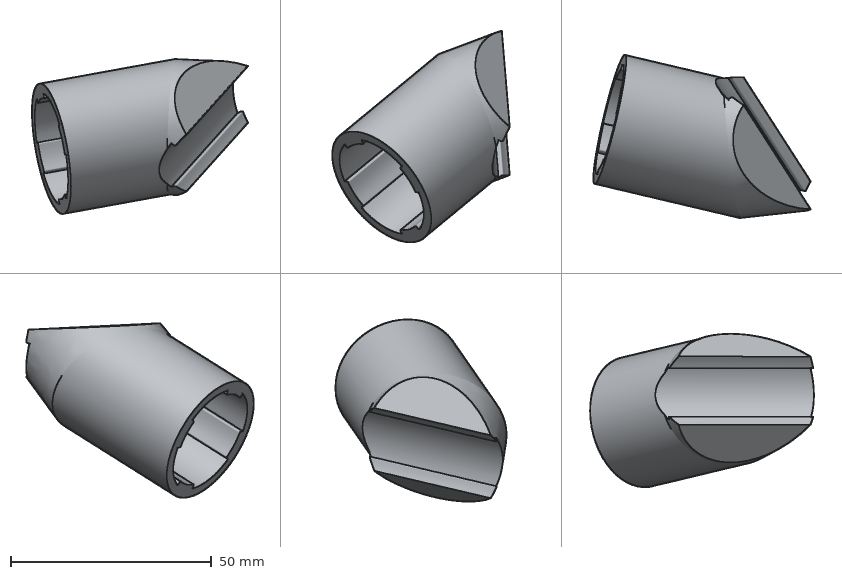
import cadquery as cq
import math

outer_radius = 16.5
bore_radius = 12.8
keyway_radius = 14.05
keyway_half_angle = 28.5
keyway_count = 4
keyway_lip_round = 0.4
bore_depth = 21.45

joint_angle = 21.2
joint_left_height = 37.8
joint_center_height = joint_left_height - outer_radius * math.tan(math.radians(joint_angle))

neck_length = 32.15

saddle_axis_height = 59.35
miter_offset = 0.65
cut_length = 160.8


def axis_distance(plane, edge):
    """Distance of an edge's middle from the normal through the plane's origin."""
    center = plane.toLocalCoords(edge.Center())
    return math.hypot(center.x, center.y)


def keyway_point(angle):
    """Point on the keyway floor at an angle in degrees."""
    turn = math.radians(angle)
    return keyway_radius * math.cos(turn), keyway_radius * math.sin(turn)


def keyed_profile(plane, length):
    """Solid with the cross-section of a round bore with evenly spaced keyways."""
    solid = cq.Workplane(plane).circle(bore_radius).extrude(length)
    for index in range(keyway_count):
        middle = index * 360 / keyway_count
        start = keyway_point(middle - keyway_half_angle)
        mid = keyway_point(middle)
        end = keyway_point(middle + keyway_half_angle)
        sector = cq.Workplane(plane).lineTo(*start).threePointArc(mid, end).close().extrude(length)
        solid = solid.union(sector)
    mean_radius = (bore_radius + keyway_radius) / 2
    lip_edges = solid.edges(cq.selectors.ParallelDirSelector(plane.zDir)).filter(
        lambda edge: axis_distance(plane, edge) < mean_radius
    )
    return lip_edges.fillet(keyway_lip_round)


def joint_plane():
    """Plane of the sloping joint, its normal pointing away from the tube's open end."""
    tilt = math.radians(joint_angle)
    return cq.Plane(
        origin=(0, joint_center_height, 0),
        xDir=(math.cos(tilt), -math.sin(tilt), 0),
        normal=(math.sin(tilt), math.cos(tilt), 0),
    )


def above_joint():
    """Block that fills everything beyond the joint plane."""
    return cq.Workplane(joint_plane()).rect(cut_length, cut_length).extrude(cut_length)


def make_tube():
    """Round tube body, cut off by the sloping joint plane."""
    blank = cq.Workplane("XZ").circle(outer_radius).extrude(-cut_length)
    return blank.cut(above_joint())


def make_neck():
    """Neck that continues the elliptical joint outline at right angles to the joint."""
    joint_half_length = outer_radius / math.cos(math.radians(joint_angle))
    return cq.Workplane(joint_plane()).ellipse(joint_half_length, outer_radius).extrude(neck_length)


def saddle_plane():
    """Plane across the saddle axis, local X pointing away from the tube and local Y along Z."""
    offset = saddle_axis_height / 2
    start = cut_length / 2 / math.sqrt(2)
    return cq.Plane(
        origin=(offset - start, offset + start, 0),
        xDir=(1, 1, 0),
        normal=(1, -1, 0),
    )


def make_miter():
    """Wedge with two faces at 45 degrees that meet just below the saddle axis."""
    reach = outer_radius * 2
    outline = [
        (-miter_offset, 0),
        (-reach - miter_offset, reach),
        (cut_length, reach),
        (cut_length, -reach),
        (-reach - miter_offset, -reach),
    ]
    return cq.Workplane(saddle_plane()).polyline(outline).close().extrude(cut_length)


result = make_tube().union(make_neck())
result = result.cut(make_miter())
result = result.cut(keyed_profile(saddle_plane(), cut_length))
result = result.cut(keyed_profile(cq.Plane.XZ(), -bore_depth))